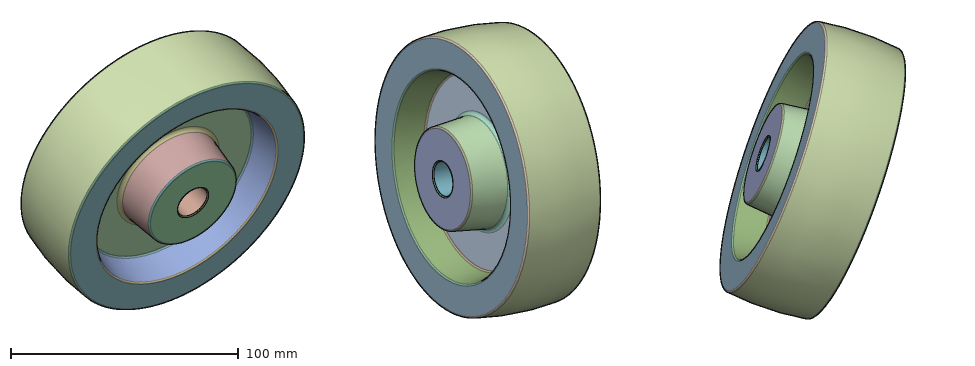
import cadquery as cq
import math

wheel_radius = 64.0
tread_width = 37.9
tread_edge_radius = 62.6
hub_length = 47.0
hub_end_radius = 23.3
hub_root_radius = 25.5
web_thickness = 8.2
rim_mouth_radius = 47.7
rim_root_radius = 44.8
bore_radius = 7.8
bore_chamfer = 0.5
edge_round = 0.8
hub_root_fillet = 1.9

half_tread = tread_width / 2
half_hub = hub_length / 2
half_web = web_thickness / 2


def wheel_body():
    """Revolve the half section with its crowned tread and tapered recesses."""
    profile = (
        cq.Workplane("XY")
        .moveTo(-half_hub, 0)
        .lineTo(-half_hub, hub_end_radius)
        .lineTo(-half_web, hub_root_radius)
        .lineTo(-half_web, rim_root_radius)
        .lineTo(-half_tread, rim_mouth_radius)
        .lineTo(-half_tread, tread_edge_radius)
        .threePointArc((0, wheel_radius), (half_tread, tread_edge_radius))
        .lineTo(half_tread, rim_mouth_radius)
        .lineTo(half_web, rim_root_radius)
        .lineTo(half_web, hub_root_radius)
        .lineTo(half_hub, hub_end_radius)
        .lineTo(half_hub, 0)
        .close()
    )
    return profile.revolve(360, (0, 0, 0), (1, 0, 0))


def circles_at(body, half_spacing, radius):
    """Select the pair of circular edges of one radius at x = +/- half_spacing."""
    tolerance = 0.01

    def matches(edge):
        return (
            edge.geomType() == "CIRCLE"
            and math.isclose(abs(edge.Center().x), half_spacing, abs_tol=tolerance)
            and math.isclose(edge.radius(), radius, abs_tol=tolerance)
        )

    return body.edges().filter(matches)


def round_edges(body):
    """Round the rim and hub edges and blend the hub into the web."""
    rounds = [
        (half_hub, hub_end_radius, edge_round),
        (half_web, hub_root_radius, hub_root_fillet),
        (half_web, rim_root_radius, edge_round),
        (half_tread, rim_mouth_radius, edge_round),
        (half_tread, tread_edge_radius, edge_round),
    ]
    for half_spacing, edge_radius, fillet_radius in rounds:
        body = circles_at(body, half_spacing, edge_radius).fillet(fillet_radius)
    return body


def cut_bore(body):
    """Drill the axle bore through the hub and chamfer both mouths."""
    bore = cq.Workplane("YZ").circle(bore_radius).extrude(half_hub, both=True)
    body = body.cut(bore)
    return circles_at(body, half_hub, bore_radius).chamfer(bore_chamfer)


result = cut_bore(round_edges(wheel_body()))